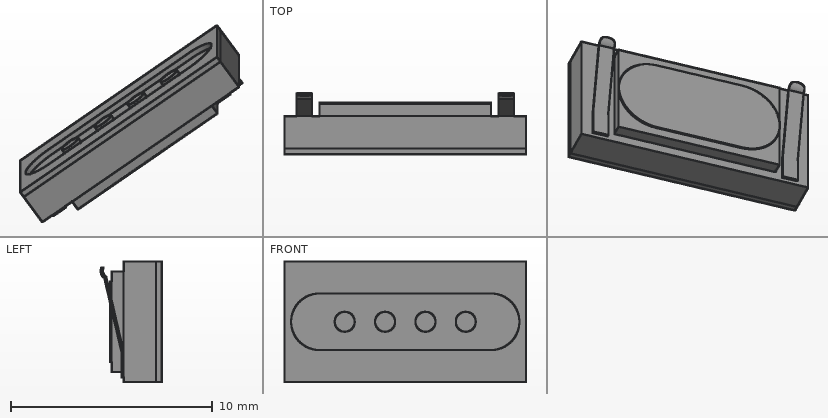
import cadquery as cq

LENGTH = 12.0
HEIGHT = 6.0
BODY_DEPTH = 1.9
COVER_THICKNESS = 0.3
HOUSING_DEPTH = BODY_DEPTH - COVER_THICKNESS

WINDOW_LENGTH = 11.34
WINDOW_HEIGHT = 2.81

BUTTON_COUNT = 4
BUTTON_DIAMETER = 1.0
BUTTON_PITCH = 2.0
BUTTON_HEIGHT = 0.24

BLOCK_LENGTH = 8.52
BLOCK_HEIGHT = 5.0
BLOCK_DEPTH = 0.6
PAD_HEIGHT = 4.01
PAD_THICKNESS = 0.07

CONTACT_WIDTH = 0.79
CONTACT_SIDE_INSET = 0.59
CONTACT_THICKNESS = 0.11
FOOT_BOTTOM = 0.24
FOOT_BEND = 1.5
ELBOW_RISE = 5.17
ELBOW_REACH = 0.96
ELBOW_INNER_RISE = 5.23
ELBOW_INNER_REACH = 0.86
TIP_RISE = 5.69
TIP_REACH = 1.1
TIP_APEX_REACH = 1.14
TIP_APEX_RISE = 5.53
TIP_SHOULDER_RISE = 5.32


def obround(length, height, depth, front):
    """Obround slab lengthwise along X, extending to +Y from y = front."""
    return (
        cq.Workplane("XZ", origin=(0, front, 0))
        .slot2D(length, height)
        .extrude(-depth)
    )


def slab(length, height, depth, front):
    """Rectangular slab centred in X and Z, extending to +Y from y = front."""
    return (
        cq.Workplane("XZ", origin=(0, front, 0))
        .rect(length, height)
        .extrude(-depth)
    )


def make_cover():
    window = obround(WINDOW_LENGTH, WINDOW_HEIGHT, COVER_THICKNESS, 0)
    return slab(LENGTH, HEIGHT, COVER_THICKNESS, 0).cut(window)


def make_housing():
    body = slab(LENGTH, HEIGHT, HOUSING_DEPTH, COVER_THICKNESS)
    block = slab(BLOCK_LENGTH, BLOCK_HEIGHT, BLOCK_DEPTH, BODY_DEPTH)
    pad = obround(BLOCK_LENGTH, PAD_HEIGHT, PAD_THICKNESS, BODY_DEPTH + BLOCK_DEPTH)
    buttons = (
        cq.Workplane("XZ", origin=(0, COVER_THICKNESS, 0))
        .rarray(BUTTON_PITCH, 0.12, BUTTON_COUNT, 1)
        .circle(BUTTON_DIAMETER / 2)
        .extrude(BUTTON_HEIGHT)
    )
    return body.union(block).union(pad).union(buttons)


def contact_strip(center_x):
    """Bent strip: flat foot, sloping arm and a tip curled outward from the elbow."""
    tip_inner_reach = TIP_REACH - CONTACT_THICKNESS
    apex_inner_reach = TIP_APEX_REACH - CONTACT_THICKNESS
    return (
        cq.Workplane("YZ", origin=(center_x, BODY_DEPTH, -HEIGHT / 2))
        .moveTo(0, FOOT_BOTTOM)
        .lineTo(CONTACT_THICKNESS, FOOT_BOTTOM)
        .lineTo(CONTACT_THICKNESS, FOOT_BEND)
        .lineTo(ELBOW_REACH, ELBOW_RISE)
        .threePointArc((TIP_APEX_REACH, TIP_APEX_RISE), (TIP_REACH, TIP_RISE))
        .lineTo(tip_inner_reach, TIP_RISE)
        .threePointArc((apex_inner_reach, TIP_APEX_RISE), (ELBOW_INNER_REACH, ELBOW_INNER_RISE))
        .lineTo(0, FOOT_BEND)
        .close()
        .extrude(CONTACT_WIDTH / 2, both=True)
    )


def contact_outline(center_x):
    """Prism along Y with a rounded top, which shapes the end of the tip."""
    half_width = CONTACT_WIDTH / 2
    return (
        cq.Workplane("XZ", origin=(center_x, BODY_DEPTH, -HEIGHT / 2))
        .moveTo(-half_width, 0)
        .lineTo(half_width, 0)
        .lineTo(half_width, TIP_SHOULDER_RISE)
        .threePointArc((0, TIP_RISE), (-half_width, TIP_SHOULDER_RISE))
        .close()
        .extrude(-2 * TIP_APEX_REACH)
    )


def make_contact(center_x):
    return contact_strip(center_x).intersect(contact_outline(center_x))


cover = make_cover()
housing = make_housing()

contact_offset = LENGTH / 2 - CONTACT_SIDE_INSET - CONTACT_WIDTH / 2
contacts = []
for side in (-1, 1):
    contacts.append(make_contact(side * contact_offset).val())

result = cq.Compound.makeCompound([cover.val(), housing.val(), *contacts])